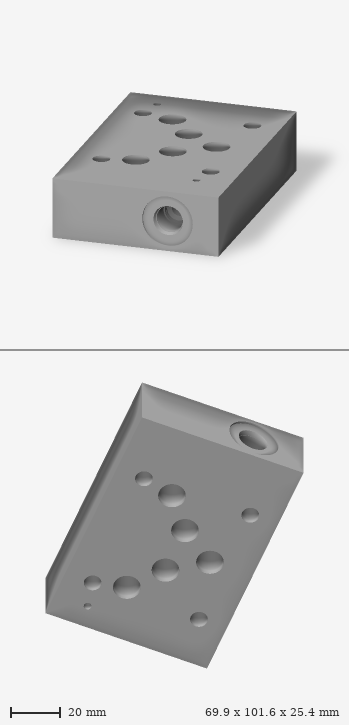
import cadquery as cq
import math

width = 69.9
length = 101.6
height = 25.4

bolt_spacing_x = 46.0
bolt_spacing_y = 54.1
bolt_diameter = 7.1
pattern_center_y = 3.1
port_diameter = 11.1
outer_port_x = -9.5
middle_port_x = 1.6
single_port_x = 16.7
outer_port_offset_y = 23.8
middle_port_offset_y = 10.3

pin_diameter = 3.1
pin_offset_x = 20.6
pin_offset_y = 38.1
pin_depth = 1.0

side_port_x = 13.5
side_port_z = height / 2
spotface_diameter = 21.2
spotface_depth = 0.9
seal_mouth_diameter = 12.4
seal_end_diameter = 11.5
seal_cone_half_angle = 12.0
thread_diameter = 11.1
thread_depth = 12.0
relief_diameter = 9.9
relief_depth = 13.0
drill_diameter = 9.5
drill_depth = 14.2
passage_diameter = 6.3
passage_depth = 40.6

drill_point_half_angle = 59.0


def point_length(large_diameter, small_diameter=0.0):
    """Axial length of a drill-point cone between two diameters."""
    radius_change = (large_diameter - small_diameter) / 2
    return radius_change / math.tan(math.radians(drill_point_half_angle))


def revolved_cutter(half_profile):
    """Round cutter about the Z axis from (radius, depth) points, pointing down from Z = 0."""
    points = [(radius, -depth) for radius, depth in half_profile]
    return cq.Workplane("XZ").polyline(points).close().revolve(360, (0, 0, 0), (0, 1, 0))


def through_holes(body, diameter, centers):
    """Drill vertical holes right through the block."""
    cutters = cq.Workplane("XY").pushPoints(centers).circle(diameter / 2).extrude(height)
    return body.cut(cutters)


def blind_pin_cutter():
    """Shallow blind hole with a drill-point bottom."""
    radius = pin_diameter / 2
    tip_depth = pin_depth + point_length(pin_diameter)
    return revolved_cutter([(0, 0), (radius, 0), (radius, pin_depth), (0, tip_depth)])


def side_port_cutter():
    """Spotface, seal cone, thread bore, relief, drilling and passage, stepping down in diameter."""
    seal_radius_change = (seal_mouth_diameter - seal_end_diameter) / 2
    seal_cone_length = seal_radius_change / math.tan(math.radians(seal_cone_half_angle))
    seal_end_depth = spotface_depth + seal_cone_length
    drill_cone_end = drill_depth + point_length(drill_diameter, passage_diameter)
    passage_tip = passage_depth + point_length(passage_diameter)
    profile = [
        (0, 0),
        (spotface_diameter / 2, 0),
        (spotface_diameter / 2, spotface_depth),
        (seal_mouth_diameter / 2, spotface_depth),
        (seal_end_diameter / 2, seal_end_depth),
        (thread_diameter / 2, seal_end_depth),
        (thread_diameter / 2, thread_depth),
        (relief_diameter / 2, thread_depth),
        (relief_diameter / 2, relief_depth),
        (drill_diameter / 2, relief_depth),
        (drill_diameter / 2, drill_depth),
        (passage_diameter / 2, drill_cone_end),
        (passage_diameter / 2, passage_depth),
        (0, passage_tip),
    ]
    return revolved_cutter(profile)


block = cq.Workplane("XY").box(width, length, height, centered=(True, True, False))

bolt_centers = [
    (side_x * bolt_spacing_x / 2, pattern_center_y + side_y * bolt_spacing_y / 2)
    for side_x in (-1, 1)
    for side_y in (-1, 1)
]
block = through_holes(block, bolt_diameter, bolt_centers)

port_centers = [(single_port_x, pattern_center_y)]
for side_y in (-1, 1):
    port_centers.append((outer_port_x, pattern_center_y + side_y * outer_port_offset_y))
    port_centers.append((middle_port_x, pattern_center_y + side_y * middle_port_offset_y))
block = through_holes(block, port_diameter, port_centers)

block = through_holes(block, pin_diameter, [(-pin_offset_x, pattern_center_y + pin_offset_y)])
blind_pin_position = (pin_offset_x, pattern_center_y - pin_offset_y, height)
block = block.cut(blind_pin_cutter().translate(blind_pin_position))

side_port = side_port_cutter().rotate((0, 0, 0), (1, 0, 0), 90)
result = block.cut(side_port.translate((side_port_x, -length / 2, side_port_z)))